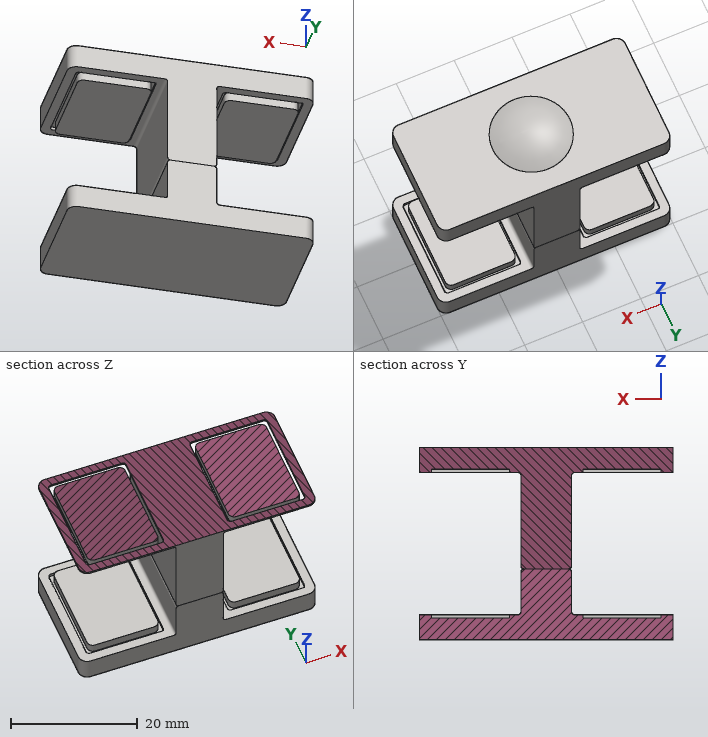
import cadquery as cq

PLATE_LENGTH = 40.0
PLATE_WIDTH = 20.0
PLATE_THICKNESS = 4.0
PLATE_CORNER_RADIUS = 1.5
WEB_THICKNESS = 8.0
WEB_ROOT_RADIUS = 0.5
WEB_TIP_RADIUS = 0.5

LOWER_FRAME_HEIGHT = 11.2
UPPER_FRAME_HEIGHT = 19.2
FRAMES_HEIGHT = LOWER_FRAME_HEIGHT + UPPER_FRAME_HEIGHT

PAD_LENGTH = 12.0
PAD_WIDTH = 16.0
PAD_CORNER_RADIUS = 1.0
PAD_PROTRUSION = 1.0
PAD_OFFSET = 11.95
POCKET_DEPTH = 0.5
POCKET_CLEARANCE = 0.5
POCKET_CORNER_RADIUS = 0.5

DOME_DIAMETER = 13.3
DOME_HEIGHT = 2.05


def rounded_block(length, width, height, corner_radius):
    """Block centred on the Z axis, standing on Z = 0, with rounded vertical edges."""
    block = cq.Workplane("XY").box(length, width, height, centered=(True, True, False))
    return block.edges("|Z").fillet(corner_radius)


def make_frame(height):
    """T-shaped frame, plate at the bottom and web pointing up, with two pad pockets."""
    plate = rounded_block(PLATE_LENGTH, PLATE_WIDTH, PLATE_THICKNESS, PLATE_CORNER_RADIUS)
    web = (
        cq.Workplane("XY")
        .box(WEB_THICKNESS, PLATE_WIDTH, height, centered=(True, True, False))
        .edges("|Y and >Z")
        .fillet(WEB_TIP_RADIUS)
    )
    frame = plate.union(web)

    for side in (-1, 1):
        root_point = (side * WEB_THICKNESS / 2, 0, PLATE_THICKNESS)
        frame = frame.edges(cq.selectors.NearestToPointSelector(root_point)).fillet(WEB_ROOT_RADIUS)

    pocket = rounded_block(
        PAD_LENGTH + 2 * POCKET_CLEARANCE,
        PAD_WIDTH + 2 * POCKET_CLEARANCE,
        POCKET_DEPTH,
        POCKET_CORNER_RADIUS,
    )
    for side in (-1, 1):
        frame = frame.cut(pocket.translate((side * PAD_OFFSET, 0, PLATE_THICKNESS - POCKET_DEPTH)))
    return frame


def make_pad(side):
    """Pad seated on its pocket floor, on the plate at the bottom."""
    pad = rounded_block(PAD_LENGTH, PAD_WIDTH, POCKET_DEPTH + PAD_PROTRUSION, PAD_CORNER_RADIUS)
    return pad.translate((side * PAD_OFFSET, 0, PLATE_THICKNESS - POCKET_DEPTH))


def turn_over(body):
    """Turn a body of the lower half upside down, into the upper half."""
    return body.rotate((0, 0, 0), (1, 0, 0), 180).translate((0, 0, FRAMES_HEIGHT))


def make_dome():
    """Spherical cap resting on the upper plate."""
    rim_radius = DOME_DIAMETER / 2
    sphere_radius = (rim_radius**2 + DOME_HEIGHT**2) / (2 * DOME_HEIGHT)
    sphere_centre = FRAMES_HEIGHT + DOME_HEIGHT - sphere_radius
    sphere = cq.Workplane("XY").sphere(sphere_radius).translate((0, 0, sphere_centre))
    cap_space = cq.Workplane("XY").workplane(offset=FRAMES_HEIGHT).rect(PLATE_LENGTH, PLATE_WIDTH)
    return sphere.intersect(cap_space.extrude(DOME_HEIGHT))


lower_frame = make_frame(LOWER_FRAME_HEIGHT)
upper_frame = turn_over(make_frame(UPPER_FRAME_HEIGHT))
dome = make_dome()

pads = []
for side in (-1, 1):
    lower_pad = make_pad(side)
    pads.append(lower_pad.val())
    pads.append(turn_over(lower_pad).val())

result = cq.Compound.makeCompound([lower_frame.val(), upper_frame.val(), dome.val(), *pads])